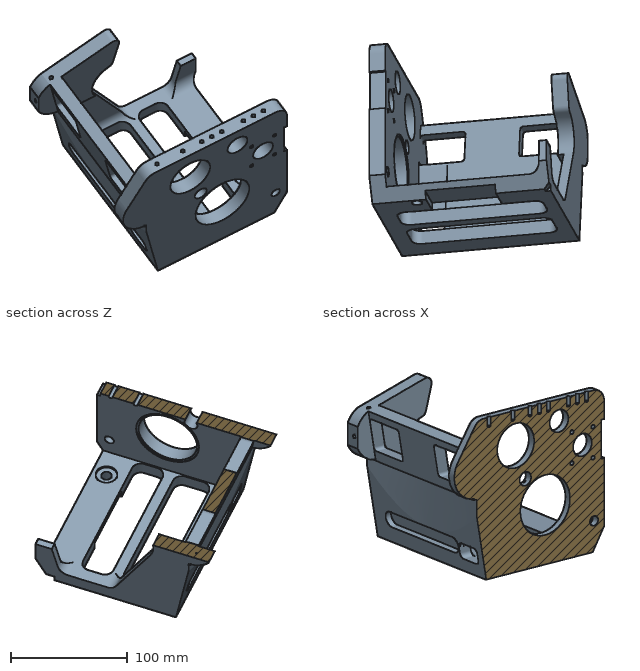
import cadquery as cq
import math


WIDTH = 156.0
DEPTH = 165.2
HEIGHT = 147.0
PLATE = 14.0
RIGHT_X = WIDTH - PLATE
FLOOR = 12.0

LEAN_DEG = 10
LEAN = math.tan(math.radians(LEAN_DEG))
FRONT_FOOT = 35.2
WALL = 12.0

NOSE_R = 24.0
NOSE_Y = NOSE_R
NOSE_Z = 100.0
CHAMFER_DEPTH = 12.7
CHAMFER_HEIGHT = 21.3

BROW_ANGLE = math.radians(33)
CORNER_R = 12.0
BACK_NOTCH_DEPTH = 3.0
BACK_NOTCH_BOTTOM = 83.0
BACK_NOTCH_TOP = 118.1

NOSE_FLAT_Y = 2.1
TIP_ANGLE = math.radians(15)
TIP_Y = 77.5
TIP_Z = 132.5
TIP_R = 6.0
IDLER_Y = 78.3
IDLER_Z = 82.6
CLEARANCE_R = 22.1
CLEARANCE_LIP_R = 6.6
RAMP_ANGLE = math.radians(30)
RAMP_TOP_Y = IDLER_Y - CLEARANCE_R * math.cos(RAMP_ANGLE)
RAMP_TOP_Z = IDLER_Z - CLEARANCE_R * math.sin(RAMP_ANGLE)
LOWER_WALL = 8.6
INNER_R = 9.9
TAB_TOP = 40.1
TAB_Y = 150.0
TAB_ANGLE = math.radians(15)
TAB_THICKNESS = 6.6
TAB_SPLIT_Y = 115.6
FOOT_CHAMFER = 4.6
FOOT_CHAMFER_Y = 147.5

RELIEF_Y = -406.3
RELIEF_TOP = 75.0
RELIEF_TOP_R = 436.9
RELIEF_TAPER = 0.01

WINDOW_WIDTH = 39.8
WINDOW_LEFT_X = 14.2
WINDOW_BOTTOM = 84.7
WINDOW_TOP = 114.8
WINDOW_R = 3.0
PORT_X = 116.6
PORT_TOP = 26.8
PORT_R = 4.3
CHANNEL_Y = 32.9
CHANNEL_TOP = 99.1
WALL_BACK_Y = 49.5
GROOVE_X0 = 16.0
GROOVE_X1 = 116.0
GROOVE_Z0 = 14.7
GROOVE_Z1 = 29.5
GROOVE_DEPTH = 6.0

FLOOR_SLOTS = [(13.0, 58.1, 91.2), (12.0, 101.0, 129.0)]
FLOOR_SLOT_RIGHT = 140.7
FLOOR_SLOT_R = 8.0
FLOOR_HOLE_X = 117.8
FLOOR_HOLE_Y = 146.7
FLOOR_HOLE_D = 9.0
FLOOR_BORE_D = 18.5
FLOOR_BORE_DEPTH = 1.7
UNDERCUT_X = 47.2
UNDERCUT_HEIGHT = 6.6

BEARING_Y = 100.1
BEARING_Z = 54.2
BEARING_D = 54.0
BEARING_RIM_D = 58.0
BEARING_RIM_DEPTH = 1.0
MOTOR_Y = 141.0
MOTOR_Z = 100.0
MOTOR_SCREW_D = 3.3
MOTOR_SCREW_Y = 11.5
MOTOR_SCREW_Z = 14.0
PLATE_HOLES = [
    (BEARING_Y, BEARING_Z, BEARING_D),
    (MOTOR_Y, MOTOR_Z, 20.0),
    (115.3, 127.2, 20.0),
    (67.7, 114.8, 40.0),
    (IDLER_Y, IDLER_Z, 12.0),
    (153.8, 28.4, 8.5),
]

SCREW_D = 3.3
SCREW_DEPTH = 8.3
SCREW_TIP = 1.0
TOP_SCREWS_Y = [38.5, 64.5, 83.5, 93.7, 103.7, 125.5, 135.6, 145.7]
TOP_SCREWS_X = RIGHT_X + PLATE / 2
NOSE_SCREWS_X = 9.1
SLOPE_SCREW_Y = 18.0


def front_y(z):
    """Y of the wall's front face at height z."""
    return FRONT_FOOT - LEAN * z


def box(x0, x1, y0, y1, z0, z1):
    return cq.Workplane("XY", origin=(x0, y0, z0)).box(x1 - x0, y1 - y0, z1 - z0, centered=False)


def side_prism(points, x0, x1):
    """Prism along X from a (Y, Z) outline."""
    return cq.Workplane("YZ", origin=(x0, 0, 0)).polyline(points).close().extrude(x1 - x0)


def side_cylinder(y, z, radius, x0, x1):
    return cq.Workplane("YZ", origin=(x0, y, z)).circle(radius).extrude(x1 - x0)


def round_corner(plate, corner, x, radius):
    """Round the edge along X that lies closest to the (Y, Z) corner."""
    return plate.edges("|X").edges(cq.NearestToPointSelector((x, *corner))).fillet(radius)


FRONT_EDGE = [(FRONT_FOOT, 0), (front_y(NOSE_Z), NOSE_Z)]
BACK_CHAMFER = [(DEPTH, CHAMFER_HEIGHT), (DEPTH - CHAMFER_DEPTH, 0)]


def right_plate():
    brow_foot = (NOSE_Y - NOSE_R * math.cos(BROW_ANGLE), NOSE_Z + NOSE_R * math.sin(BROW_ANGLE))
    brow = (brow_foot[0] + (HEIGHT - brow_foot[1]) * math.tan(BROW_ANGLE), HEIGHT)
    back_top = (DEPTH, HEIGHT)
    plate = side_prism(FRONT_EDGE + [brow_foot, brow, back_top] + BACK_CHAMFER, RIGHT_X, WIDTH)
    for corner in (brow, back_top):
        plate = round_corner(plate, corner, WIDTH, CORNER_R)
    plate = plate.union(side_cylinder(NOSE_Y, NOSE_Z, NOSE_R, RIGHT_X, WIDTH))
    notch_y = DEPTH - BACK_NOTCH_DEPTH
    return plate.cut(box(RIGHT_X, WIDTH, notch_y, DEPTH, BACK_NOTCH_BOTTOM, BACK_NOTCH_TOP))


def top_edge_end():
    """Front end of the left plate's sloping top edge, where it leaves the nose circle."""
    offset = TIP_R + (TIP_Z - NOSE_Z) * math.cos(TIP_ANGLE) - (TIP_Y - NOSE_Y) * math.sin(TIP_ANGLE)
    half_chord = math.sqrt(NOSE_R**2 - offset**2)
    return (
        NOSE_Y - offset * math.sin(TIP_ANGLE) - half_chord * math.cos(TIP_ANGLE),
        NOSE_Z + offset * math.cos(TIP_ANGLE) - half_chord * math.sin(TIP_ANGLE),
    )


def left_profile(x1):
    """The left plate's outline as a solid from X = 0 to x1."""
    top_end = top_edge_end()
    tip_reach = 2 * TIP_R * math.sqrt(0.5)
    tip = (TIP_Y + tip_reach, TIP_Z + tip_reach)
    tip_foot = (tip[0] - (tip[1] - IDLER_Z) * math.tan(TIP_ANGLE), IDLER_Z)
    ramp_foot = (RAMP_TOP_Y + (RAMP_TOP_Z - FLOOR) * math.tan(RAMP_ANGLE), FLOOR)
    tab_foot = (TAB_Y - (TAB_TOP - FLOOR) * math.tan(TAB_ANGLE), FLOOR)

    points = FRONT_EDGE + [top_end, tip, tip_foot, (IDLER_Y, IDLER_Z), (RAMP_TOP_Y, RAMP_TOP_Z)]
    points += [ramp_foot, tab_foot, (TAB_Y, TAB_TOP), (DEPTH, TAB_TOP)] + BACK_CHAMFER
    plate = side_prism(points, 0, x1)
    plate = round_corner(plate, tip, 0, TIP_R)
    for corner in (ramp_foot, tab_foot):
        plate = round_corner(plate, corner, 0, INNER_R)

    plate = plate.cut(side_cylinder(IDLER_Y, IDLER_Z, CLEARANCE_R, 0, x1))
    lip = (tip_foot[0] + CLEARANCE_R * math.tan(TIP_ANGLE), IDLER_Z + CLEARANCE_R)
    plate = round_corner(plate, lip, 0, CLEARANCE_LIP_R)

    above_top_edge = side_prism([top_end, tip, (top_end[0], tip[1])], 0, x1)
    nose = side_cylinder(NOSE_Y, NOSE_Z, NOSE_R, 0, x1).cut(above_top_edge)
    return plate.union(nose).cut(box(0, x1, 0, NOSE_FLAT_Y, 0, HEIGHT))


def floor_fillet(x, y0, y1):
    """Concave fillet between the floor and an upright face at x, running along Y."""
    return (
        cq.Workplane("XZ", origin=(0, y1, 0))
        .lineTo(x + INNER_R, 0)
        .lineTo(x + INNER_R, FLOOR)
        .radiusArc((x, FLOOR + INNER_R), INNER_R)
        .lineTo(0, FLOOR + INNER_R)
        .close()
        .extrude(y1 - y0)
    )


def left_plate():
    plate = left_profile(PLATE)
    plate = plate.cut(box(LOWER_WALL, PLATE, 0, TAB_SPLIT_Y, FLOOR, RAMP_TOP_Z))
    plate = plate.cut(box(TAB_THICKNESS, PLATE, TAB_SPLIT_Y, DEPTH, FLOOR, TAB_TOP))
    fillets = floor_fillet(LOWER_WALL, FRONT_FOOT, TAB_SPLIT_Y)
    fillets = fillets.union(floor_fillet(TAB_THICKNESS, TAB_SPLIT_Y, DEPTH))
    return plate.union(fillets.intersect(left_profile(LOWER_WALL + INNER_R)))


def floor_plate():
    back_y = DEPTH - CHAMFER_DEPTH * (1 - FLOOR / CHAMFER_HEIGHT)
    outline = [(FRONT_FOOT, 0), (front_y(FLOOR), FLOOR), (back_y, FLOOR), (DEPTH - CHAMFER_DEPTH, 0)]
    return side_prism(outline, 0, WIDTH)


def front_wall():
    """Leaning slab that ends under the left plate's top edge."""
    head = front_y(HEIGHT)
    outline = [(FRONT_FOOT, 0), (head, HEIGHT), (head + WALL, HEIGHT), (FRONT_FOOT + WALL, 0)]
    return side_prism(outline, 0, WIDTH).intersect(left_profile(WIDTH))


def nose_relief():
    bottom_r = RELIEF_TOP_R - RELIEF_TAPER * RELIEF_TOP
    return (
        cq.Workplane("XZ", origin=(WIDTH / 2, RELIEF_Y, 0))
        .polyline([(0, 0), (bottom_r, 0), (RELIEF_TOP_R, RELIEF_TOP), (0, RELIEF_TOP)])
        .close()
        .revolve(360, (0, 0, 0), (0, 1, 0))
    )


def wall_opening(x0, x1, z0, z1, radius, y0):
    """Rounded rectangular cutter along Y, from y0 to behind the wall."""
    return box(x0, x1, y0, WALL_BACK_Y, z0, z1).edges("|Y").fillet(radius)


def front_groove():
    """Round-ended groove cut square to the leaning front face."""
    mid_z = (GROOVE_Z0 + GROOVE_Z1) / 2
    return (
        cq.Workplane("XY", origin=(0, 0, -GROOVE_DEPTH))
        .slot2D(GROOVE_X1 - GROOVE_X0, GROOVE_Z1 - GROOVE_Z0)
        .extrude(2 * GROOVE_DEPTH)
        .rotate((0, 0, 0), (1, 0, 0), 90 + LEAN_DEG)
        .translate(((GROOVE_X0 + GROOVE_X1) / 2, front_y(mid_z), mid_z))
    )


def screw_hole(place, tilt_deg):
    """Blind drilled hole at a point; its axis is vertical, then tilted forward about X."""
    radius = SCREW_D / 2
    return (
        cq.Workplane("XZ")
        .polyline([(0, 0), (radius, 0), (radius, -SCREW_DEPTH), (0, -SCREW_DEPTH - SCREW_TIP)])
        .close()
        .revolve(360, (0, 0, 0), (0, 1, 0))
        .rotate((0, 0, 0), (1, 0, 0), tilt_deg)
        .translate(place)
    )


result = right_plate().union(left_plate()).union(floor_plate()).union(front_wall())
result = result.cut(nose_relief())

for x0 in (WINDOW_LEFT_X, RIGHT_X - WINDOW_WIDTH):
    window = wall_opening(x0, x0 + WINDOW_WIDTH, WINDOW_BOTTOM, WINDOW_TOP, WINDOW_R, NOSE_FLAT_Y)
    result = result.cut(window)
result = result.cut(wall_opening(PORT_X, RIGHT_X, FLOOR, PORT_TOP, PORT_R, 0))
result = result.cut(wall_opening(PORT_X, RIGHT_X, FLOOR, CHANNEL_TOP, PORT_R, CHANNEL_Y))
result = result.cut(front_groove())

for x0, y0, y1 in FLOOR_SLOTS:
    slot = box(x0, FLOOR_SLOT_RIGHT, y0, y1, 0, FLOOR + INNER_R)
    result = result.cut(slot.edges("|Z").fillet(FLOOR_SLOT_R))
for diameter, depth in ((FLOOR_HOLE_D, FLOOR), (FLOOR_BORE_D, FLOOR_BORE_DEPTH)):
    top = cq.Workplane("XY", origin=(FLOOR_HOLE_X, FLOOR_HOLE_Y, FLOOR))
    result = result.cut(top.circle(diameter / 2).extrude(-depth))
slot_back = FLOOR_SLOTS[-1][2]
result = result.cut(box(UNDERCUT_X, WIDTH - UNDERCUT_X, slot_back, DEPTH, 0, UNDERCUT_HEIGHT))
foot_outline = [(0, 0), (FOOT_CHAMFER, 0), (0, FOOT_CHAMFER)]
foot_corner = cq.Workplane("XZ", origin=(0, DEPTH, 0)).polyline(foot_outline).close()
result = result.cut(foot_corner.extrude(DEPTH - FOOT_CHAMFER_Y))

for y, z, diameter in PLATE_HOLES:
    result = result.cut(side_cylinder(y, z, diameter / 2, RIGHT_X, WIDTH))
for dy in (-MOTOR_SCREW_Y, MOTOR_SCREW_Y):
    for dz in (-MOTOR_SCREW_Z, MOTOR_SCREW_Z):
        result = result.cut(side_cylinder(MOTOR_Y + dy, MOTOR_Z + dz, MOTOR_SCREW_D / 2, RIGHT_X, WIDTH))
rim = side_cylinder(BEARING_Y, BEARING_Z, BEARING_RIM_D / 2, RIGHT_X, RIGHT_X + BEARING_RIM_DEPTH)
result = result.cut(rim)

for y in TOP_SCREWS_Y:
    result = result.cut(screw_hole((TOP_SCREWS_X, y, HEIGHT), 0))
result = result.cut(screw_hole((NOSE_SCREWS_X, NOSE_FLAT_Y, NOSE_Z), 90))
edge_y, edge_z = top_edge_end()
slope_screw_z = edge_z + (SLOPE_SCREW_Y - edge_y) * math.tan(TIP_ANGLE)
result = result.cut(screw_hole((NOSE_SCREWS_X, SLOPE_SCREW_Y, slope_screw_z), math.degrees(TIP_ANGLE)))